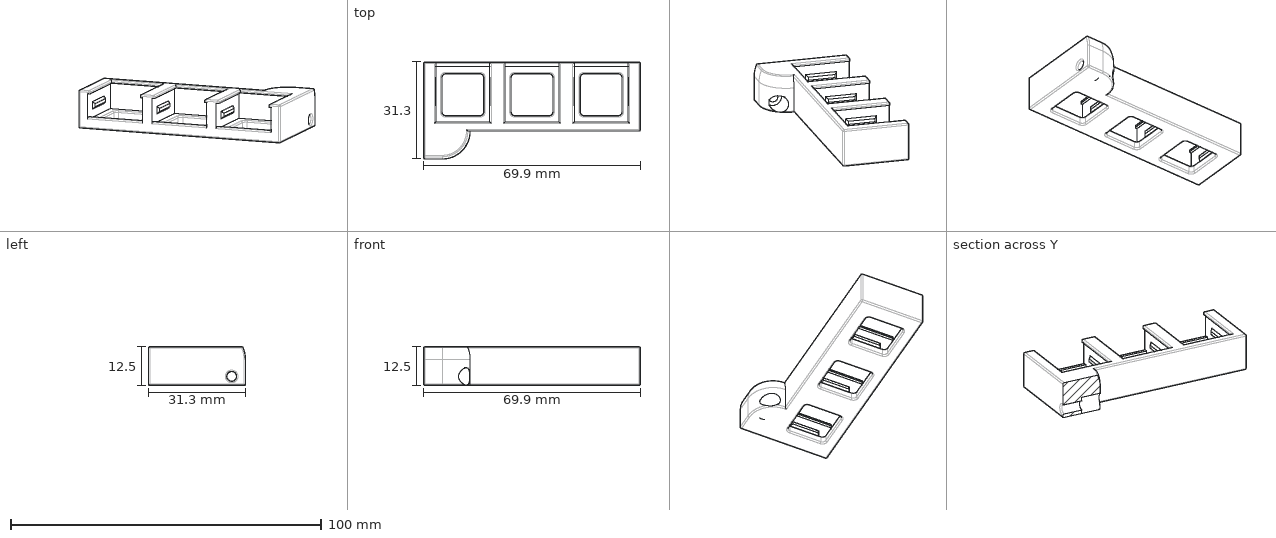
import cadquery as cq
import math

length = 69.9
height = 12.5
bar_depth = 22.3
edge_round = 0.5

lobe_reach = 9.0
lobe_straight = 6.0
lobe_overlap = 2.1
crown_start = 8.4
crown_radius = 10.0
crown_height = height - crown_start
crown_inset = crown_radius - math.sqrt(crown_radius**2 - crown_height**2)

hole_diameter = 3.1
head_diameter = 5.6
head_seat = 7.0
hole_y = 4.5 - lobe_reach
hole_z = 2.95

pocket_count = 3
pitch = bar_depth
pocket_width = 19.0
mouth_width = 17.35
lip_height = 1.0
lip_overhang = (pocket_width - mouth_width) / 2
mouth_front = 3.0
floor_height = 3.0
ledge_height = 3.8
ledge_depth = 1.5

window_size = 13.4
window_corner = 1.2
window_y = 11.75

ridge_rise = 0.7
ridge_length = 10.4
ridge_height = 2.45
ridge_y = 12.7
ridge_z = 6.9


def crown_profile(plane):
    """Half section of the lobe, from its inner side out to the leaning outer wall."""
    mid_angle = math.asin(crown_height / crown_radius) / 2
    arc_center = lobe_reach - crown_radius
    arc_middle = (
        arc_center + crown_radius * math.cos(mid_angle),
        crown_start + crown_radius * math.sin(mid_angle),
    )
    return (
        cq.Workplane(plane)
        .lineTo(lobe_reach, 0)
        .lineTo(lobe_reach, crown_start)
        .threePointArc(arc_middle, (lobe_reach - crown_inset, height))
        .lineTo(0, height)
        .close()
    )


def make_bar():
    bar = cq.Workplane().box(length, bar_depth, height, centered=False)
    return bar.edges().fillet(edge_round)


def make_lobe():
    """Straight front and side walls joined by a quarter turn, all under one leaning crown."""
    across_front = cq.Plane(origin=(0, 0, 0), xDir=(0, -1, 0), normal=(-1, 0, 0))
    across_side = cq.Plane(origin=(lobe_straight, 0, 0), xDir=(1, 0, 0), normal=(0, -1, 0))
    front = crown_profile(across_front).extrude(-lobe_straight)
    corner = crown_profile(across_side).revolve(90, (0, 0, 0), (0, -1, 0))
    side = crown_profile(across_side).extrude(-lobe_overlap)
    root = cq.Workplane().box(lobe_straight, lobe_overlap, height, centered=False)
    lobe = front.union(corner).union(side).union(root).clean()
    exposed_rims = lobe.faces("<X or >Z or <Z").edges("not >Y")
    return exposed_rims.fillet(edge_round)


def cut_screw_hole(body):
    """Through hole with a rounded entry at the left end and a wider bore for the screw head."""
    hole_plane = cq.Plane(origin=(0, hole_y, hole_z), xDir=(0, 1, 0), normal=(1, 0, 0))
    lobe_width = lobe_straight + lobe_reach
    hole = cq.Workplane(hole_plane).circle(hole_diameter / 2).extrude(lobe_width)
    head = (
        cq.Workplane(hole_plane)
        .workplane(offset=head_seat)
        .circle(head_diameter / 2)
        .extrude(lobe_width - head_seat)
    )
    body = body.cut(hole)
    body = body.faces("<X").edges("%CIRCLE").fillet(edge_round)
    return body.cut(head)


def open_box(width, front, bottom, top):
    """Box centred on X that runs from `front` to the back of the bar."""
    box = cq.Workplane().box(width, bar_depth - front, top - bottom, centered=(True, False, False))
    return box.translate((0, front, bottom))


def make_ridge(side):
    """Tapered ridge on the wall at +X (side = 1) or -X (side = -1), rising into the pocket."""
    wall = cq.Plane(origin=(side * pocket_width / 2, ridge_y, ridge_z), xDir=(0, 1, 0), normal=(-side, 0, 0))
    return cq.Workplane(wall).rect(ridge_length, ridge_height).extrude(ridge_rise, taper=45)


def make_pocket():
    """Everything removed for one pocket, centred on X = 0."""
    lip_underside = height - lip_height
    mouth = open_box(mouth_width, mouth_front, lip_underside, height)
    ledge_front = bar_depth - ledge_depth
    cavity = open_box(pocket_width, mouth_front - lip_overhang, floor_height, lip_underside)
    ledge = open_box(pocket_width, ledge_front, floor_height, ledge_height)
    cavity = cavity.cut(ledge).cut(make_ridge(1)).cut(make_ridge(-1))
    window = (
        cq.Workplane()
        .center(0, window_y)
        .rect(window_size, window_size)
        .extrude(floor_height)
        .edges("|Z")
        .fillet(window_corner)
    )
    return cavity.union(mouth).union(window)


def edges_between(x, width, front, back, level):
    """Selector for edges at one height, inside a rectangle centred on x."""
    margin = 0.1
    return cq.selectors.BoxSelector(
        (x - width / 2 - margin, front - margin, level - margin),
        (x + width / 2 + margin, back + margin, level + margin),
    )


def round_pocket_edges(body, x):
    """Round the mouth of the pocket at x, the rims of its window and the back of its ledge."""
    window_front = window_y - window_size / 2
    window_back = window_front + window_size
    window_top = edges_between(x, window_size, window_front, window_back, floor_height)
    window_bottom = edges_between(x, window_size, window_front, window_back, 0)
    mouth_rim = edges_between(x, mouth_width, mouth_front, bar_depth - edge_round, height)
    ledge_back = edges_between(x, pocket_width, bar_depth, bar_depth, ledge_height)
    for edges in (window_top, window_bottom, mouth_rim, ledge_back):
        body = body.edges(edges).fillet(edge_round)
    return body


result = cut_screw_hole(make_bar().union(make_lobe()))
for index in range(pocket_count):
    pocket_x = length / 2 + (index - (pocket_count - 1) / 2) * pitch
    result = result.cut(make_pocket().translate((pocket_x, 0, 0)))
    result = round_pocket_edges(result, pocket_x)